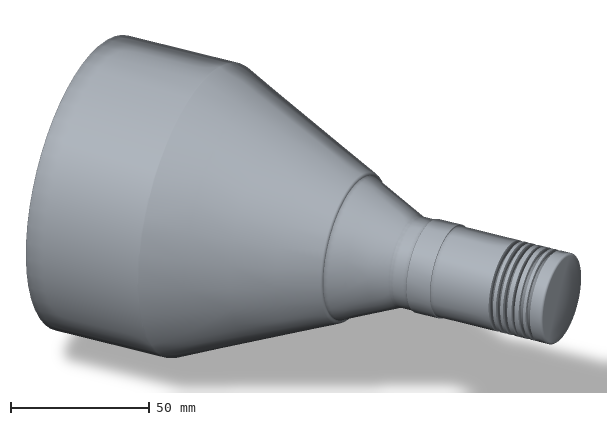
import cadquery as cq
import math

total_length = 188.8
drum_end = 45.0
shoulder = 106.0
collar_start = 134.9
collar_end = 144.2

drum_radius = 55.0
long_cone_end_radius = 28.0
short_cone_start_radius = 26.9
neck_radius = 17.0
collar_radius = 17.5

cone_slope = (drum_radius - long_cone_end_radius) / (shoulder - drum_end)
short_cone_end = shoulder + (short_cone_start_radius - neck_radius) / cone_slope

face_chamfer = 0.4
collar_chamfer = 0.4
outer_cone_round = 1.0
cone_neck_fillet = 2.5
tip_round = 0.8

wide_groove = 1.7
narrow_groove = 1.2
deep_root_radius = 14.1
shallow_root_radius = 15.5
deep_groove_starts = (167.5, 170.4, 173.2)
narrow_groove_start = 176.6
shallow_groove_starts = (179.5, 182.3)


def make_body():
    """Revolve the outer profile, drawn as (x, radius) in the XZ plane, about the X axis."""
    profile = (
        cq.Workplane("XZ")
        .lineTo(0, drum_radius - face_chamfer)
        .lineTo(face_chamfer, drum_radius)
        .lineTo(drum_end, drum_radius)
        .lineTo(shoulder, long_cone_end_radius)
        .lineTo(shoulder, short_cone_start_radius)
        .lineTo(short_cone_end, neck_radius)
        .lineTo(collar_start - collar_chamfer, neck_radius)
        .lineTo(collar_start, collar_radius)
        .lineTo(collar_end, collar_radius)
        .lineTo(collar_end, neck_radius)
        .lineTo(total_length, neck_radius)
        .lineTo(total_length, 0)
        .close()
    )
    return profile.revolve(360, (0, 0, 0), (1, 0, 0))


def round_edge(body, station, edge_radius, fillet_radius):
    """Fillet the circular edge of the given radius found at one station along X."""

    def is_wanted(edge):
        same_station = math.isclose(edge.arcCenter().x, station, abs_tol=1e-4)
        return same_station and math.isclose(edge.radius(), edge_radius, abs_tol=1e-4)

    return body.edges("%CIRCLE").filter(is_wanted).fillet(fillet_radius)


def round_edges(body):
    body = round_edge(body, drum_end, drum_radius, outer_cone_round)
    body = round_edge(body, shoulder, long_cone_end_radius, outer_cone_round)
    body = round_edge(body, short_cone_end, neck_radius, cone_neck_fillet)
    return round_edge(body, total_length, neck_radius, tip_round)


def groove_ring(start, width, root_radius):
    """Ring of material removed to leave a square groove around the neck."""
    return (
        cq.Workplane("YZ", origin=(start, 0, 0))
        .circle(collar_radius)
        .circle(root_radius)
        .extrude(width)
    )


def cut_grooves(body):
    for start in deep_groove_starts:
        body = body.cut(groove_ring(start, wide_groove, deep_root_radius))
    body = body.cut(groove_ring(narrow_groove_start, narrow_groove, deep_root_radius))
    for start in shallow_groove_starts:
        body = body.cut(groove_ring(start, wide_groove, shallow_root_radius))
    return body


result = cut_grooves(round_edges(make_body()))